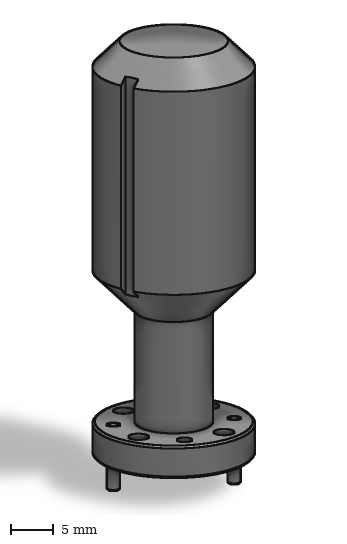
import cadquery as cq
import math

total_height = 54.65
pin_projection = 4.0
flange_thickness = 4.0
flange_top = pin_projection + flange_thickness

body_radius = 9.5
neck_radius = 4.6
top_face_radius = 6.35
shoulder_bottom = 21.65
shoulder_top = shoulder_bottom + body_radius - neck_radius
top_cone_start = total_height - (body_radius - top_face_radius)
flange_chamfer = 0.3

groove_width = 1.8
groove_depth = 0.95

hole_circle_radius = 7.15
screw_hole_diameter = 2.4
screw_hole_angles = (0, 90, 180, 270)
dowel_hole_diameter = 1.8
dowel_hole_angles = (135, 315)

pin_diameter = 1.6
pin_angles = (45, 225)
pin_chamfer = 0.2


def on_hole_circle(angle):
    """XY position on the flange hole circle at an angle in degrees."""
    turn = math.radians(angle)
    return hole_circle_radius * math.cos(turn), hole_circle_radius * math.sin(turn)


def flange_holes(diameter, angles):
    """Cylinders that cut holes right through the flange."""
    return (
        cq.Workplane("XY", origin=(0, 0, pin_projection))
        .pushPoints([on_hole_circle(angle) for angle in angles])
        .circle(diameter / 2)
        .extrude(flange_thickness)
    )


def turned_body():
    """Flange, neck and barrel as one revolved profile."""
    rim_radius = body_radius - flange_chamfer
    profile = [
        (0, pin_projection),
        (rim_radius, pin_projection),
        (body_radius, pin_projection + flange_chamfer),
        (body_radius, flange_top - flange_chamfer),
        (rim_radius, flange_top),
        (neck_radius, flange_top),
        (neck_radius, shoulder_bottom),
        (body_radius, shoulder_top),
        (body_radius, top_cone_start),
        (top_face_radius, total_height),
        (0, total_height),
    ]
    return cq.Workplane("XZ").polyline(profile).close().revolve(360, (0, 0, 0), (0, 1, 0))


def groove_cutter():
    """Block that cuts the barrel groove, running out through both cones."""
    return (
        cq.Workplane("XY", origin=(0, 0, shoulder_bottom))
        .center(0, groove_depth / 2 - body_radius)
        .rect(groove_width, groove_depth)
        .extrude(total_height - shoulder_bottom)
    )


def make_housing():
    """Turned body with the barrel groove and the flange holes."""
    housing = turned_body().cut(groove_cutter())
    housing = housing.cut(flange_holes(screw_hole_diameter, screw_hole_angles))
    housing = housing.cut(flange_holes(dowel_hole_diameter, dowel_hole_angles))
    return housing.cut(flange_holes(pin_diameter, pin_angles))


def make_pin(angle):
    """Dowel pin, chamfered at both ends and flush with the flange top."""
    return (
        cq.Workplane("XY")
        .center(*on_hole_circle(angle))
        .circle(pin_diameter / 2)
        .extrude(flange_top)
        .faces("<Z or >Z")
        .chamfer(pin_chamfer)
    )


housing = make_housing()
pins = [make_pin(angle) for angle in pin_angles]

result = cq.Compound.makeCompound([housing.val(), *[pin.val() for pin in pins]])